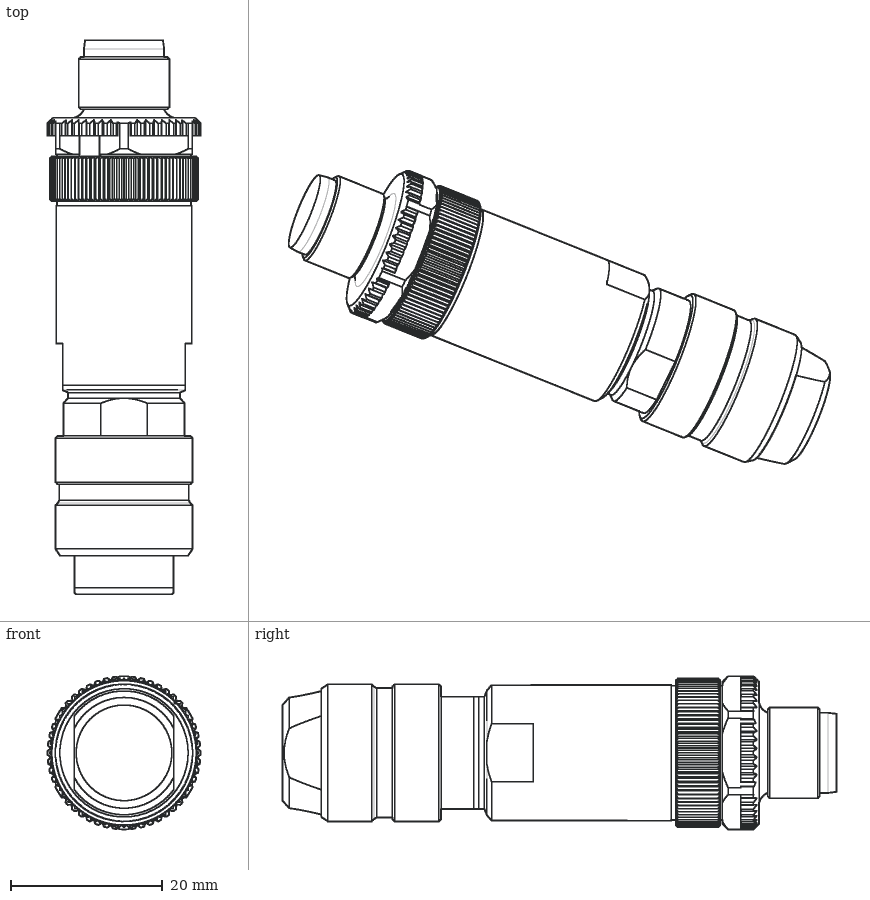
import cadquery as cq
import math

LENGTH = 73.0
EDGE = 0.3

TAIL_END_R = 6.3
TAIL_EDGE_R = 7.3
TAIL_EDGE_Y = 0.9
TAIL_ROOT_R = 8.15
TAIL_ROOT_Y = 5.1
TAIL_FLAT_WIDTH = 13.1
COLLAR_R = 18.1 / 2
COLLAR_END_R = 8.45
REAR_COLLAR_Y = (6.0, 12.05)
GROOVE_CONE = 0.35
FRONT_COLLAR_Y = (14.5, 20.9)
COLLAR_GROOVE_R = 17.1 / 2

ADAPTER_R = 8.0
ADAPTER_CONE_Y = 25.2
NECK_R = 14.8 / 2
NECK_Y = (25.85, 26.6)
ADAPTER_FLAT_WIDTH = 14.8

BODY_R = 17.9 / 2
BODY_END_R = 8.25
BODY_Y = (26.95, 51.2)
BODY_BEVEL = 0.6
BODY_FLAT_WIDTH = 16.2
BODY_FLAT_END_Y = 33.05
BODY_NECK_R = 17.7 / 2

SLEEVE_Y = (51.8, 57.7)
SLEEVE_R = 9.8
SLEEVE_ROOT_R = 9.5
SLEEVE_TEETH = 96
SLEEVE_TIP_SHARE = 0.05

HEX_Y = 57.95
RIM_Y = 60.4
NUT_FRONT_Y = 62.8
NUT_R = 20.2 / 2
NUT_BEVEL = 0.75
HEX_WIDTH = 18.0
HEX_SIDES = 6
RIM_ROOT_R = 9.65
RIM_TEETH = 52
RIM_TIP_SHARE = 0.25
RIM_TRIM = 0.1
MARK_WIDTH = 3.0
MARK_R = 9.25
MARK_ANGLE = 120.0

THREAD_R = 12.0 / 2
THREAD_Y = (63.9, 70.8)
FLARE_TOP_R = 10.6 / 2
FLARE_BASE_R = 6.6
FLARE_BOW = 0.38
TIP_R = 10.3 / 2
TIP_COLLAR_R = 10.6 / 2
TIP_COLLAR_Y = 71.85


def turned(points):
    """Solid of revolution about Y from (radius, y) points, closed along the axis."""
    closed = [(0, points[0][1])] + points + [(0, points[-1][1])]
    return cq.Workplane("XY").polyline(closed).close().revolve(360, (0, 0), (0, 1))


def collar(radius, y_range, edge=EDGE):
    """Disc with both rims chamfered."""
    y0, y1 = y_range
    return turned([
        (radius - edge, y0),
        (radius, y0 + edge),
        (radius, y1 - edge),
        (radius - edge, y1),
    ])


def plane_at(y):
    """Sketch plane normal to the axis: local x is X, local y is Z, extrusion runs towards -Y."""
    return cq.Workplane("XZ", origin=(0, y, 0))


def cut_flat_pair(solid, axis, width, y0, y1):
    """Trim two parallel flats, spaced by width across X or Z, between y0 and y1."""
    depth = NUT_R
    for side in (-1, 1):
        offset = side * (width + depth) / 2
        block = cq.Workplane("XY").box(2 * NUT_R, y1 - y0, depth)
        if axis == "X":
            block = block.rotate((0, 0, 0), (0, 1, 0), 90).translate((offset, 0, 0))
        else:
            block = block.translate((0, 0, offset))
        solid = solid.cut(block.translate((0, (y0 + y1) / 2, 0)))
    return solid


def knurl(tip_r, root_r, teeth, tip_share, y0, y1):
    """Prism with V grooves between flat-tipped teeth; one tooth is centred on +X.

    tip_share is the part of the tooth pitch taken by the flat tip.
    """
    pitch = 2 * math.pi / teeth
    half_tip = pitch * tip_share / 2
    points = []
    for i in range(teeth):
        centre = i * pitch
        corners = (
            (tip_r, centre - half_tip),
            (tip_r, centre + half_tip),
            (root_r, centre + pitch / 2),
        )
        for radius, angle in corners:
            points.append((radius * math.cos(angle), radius * math.sin(angle)))
    return plane_at(y1).polyline(points).close().extrude(y1 - y0)


def clamping_nut():
    tail = turned([
        (TAIL_END_R, 0),
        (TAIL_EDGE_R, TAIL_EDGE_Y),
        (TAIL_ROOT_R, TAIL_ROOT_Y),
    ])
    tail = cut_flat_pair(tail, "X", TAIL_FLAT_WIDTH, 0, TAIL_ROOT_Y)
    rear_y, groove_y = REAR_COLLAR_Y
    rear_collar = turned([
        (COLLAR_END_R, TAIL_ROOT_Y),
        (COLLAR_R, rear_y),
        (COLLAR_R, groove_y - EDGE),
        (COLLAR_R - EDGE, groove_y),
        (COLLAR_GROOVE_R, groove_y + GROOVE_CONE),
        (COLLAR_GROOVE_R, FRONT_COLLAR_Y[0]),
    ])
    return tail.union(rear_collar).union(collar(COLLAR_R, FRONT_COLLAR_Y))


def adapter():
    start = FRONT_COLLAR_Y[1]
    solid = turned([
        (ADAPTER_R, start),
        (ADAPTER_R, ADAPTER_CONE_Y),
        (NECK_R, NECK_Y[0]),
        (NECK_R, NECK_Y[1]),
    ])
    return cut_flat_pair(solid, "Z", ADAPTER_FLAT_WIDTH, start, NECK_Y[1])


def body():
    solid = turned([
        (NECK_R, NECK_Y[1]),
        (BODY_END_R, BODY_Y[0]),
        (BODY_R, BODY_Y[0] + BODY_BEVEL),
        (BODY_R, BODY_Y[1]),
        (BODY_NECK_R, BODY_Y[1]),
        (BODY_NECK_R, SLEEVE_Y[0]),
    ])
    return cut_flat_pair(solid, "X", BODY_FLAT_WIDTH, NECK_Y[1], BODY_FLAT_END_Y)


def sleeve():
    y0, y1 = SLEEVE_Y
    knurled = knurl(SLEEVE_R, SLEEVE_ROOT_R, SLEEVE_TEETH, SLEEVE_TIP_SHARE, y0, y1)
    core = turned([(BODY_NECK_R, y1), (BODY_NECK_R, HEX_Y)])
    end_cones = collar(SLEEVE_R + EDGE, SLEEVE_Y, 2 * EDGE)
    return knurled.intersect(end_cones).union(core)


def coupling_nut():
    height = NUT_FRONT_Y - HEX_Y
    corner_diameter = HEX_WIDTH / math.cos(math.pi / HEX_SIDES)
    half_side_angle = 180 / HEX_SIDES
    hexagon = plane_at(NUT_FRONT_Y).polygon(HEX_SIDES, corner_diameter).extrude(height)
    hexagon = hexagon.rotate((0, 0, 0), (0, 1, 0), half_side_angle)
    rim = knurl(NUT_R + RIM_TRIM, RIM_ROOT_R, RIM_TEETH, RIM_TIP_SHARE, RIM_Y, NUT_FRONT_Y)
    envelope = collar(NUT_R, (HEX_Y, NUT_FRONT_Y), NUT_BEVEL)
    return hexagon.union(rim).intersect(envelope).union(index_mark())


def index_mark():
    """Raised strip along one hexagon flat, reaching back to the sleeve."""
    y0 = SLEEVE_Y[1]
    strip = cq.Workplane("XY").box(MARK_R, RIM_Y - y0, MARK_WIDTH)
    strip = strip.translate((MARK_R / 2, (y0 + RIM_Y) / 2, 0))
    strip = strip.rotate((0, 0, 0), (0, 1, 0), -MARK_ANGLE)
    return strip.intersect(turned([(MARK_R, y0), (MARK_R, RIM_Y)]))


def flare():
    """Neck behind the thread, running into the coupling nut face on a concave round."""
    height = THREAD_Y[0] - NUT_FRONT_Y
    width = FLARE_BASE_R - FLARE_TOP_R
    middle = (FLARE_TOP_R + FLARE_BOW * width, NUT_FRONT_Y + FLARE_BOW * height)
    profile = (
        cq.Workplane("XY")
        .moveTo(0, NUT_FRONT_Y)
        .lineTo(FLARE_BASE_R, NUT_FRONT_Y)
        .threePointArc(middle, (FLARE_TOP_R, THREAD_Y[0]))
        .lineTo(0, THREAD_Y[0])
        .close()
    )
    return profile.revolve(360, (0, 0), (0, 1))


def mating_end():
    tip = turned([
        (TIP_COLLAR_R, THREAD_Y[1]),
        (TIP_COLLAR_R, TIP_COLLAR_Y),
        (TIP_R, LENGTH),
    ])
    return flare().union(collar(THREAD_R, THREAD_Y)).union(tip)


result = (
    clamping_nut()
    .union(adapter())
    .union(body())
    .union(sleeve())
    .union(coupling_nut())
    .union(mating_end())
)